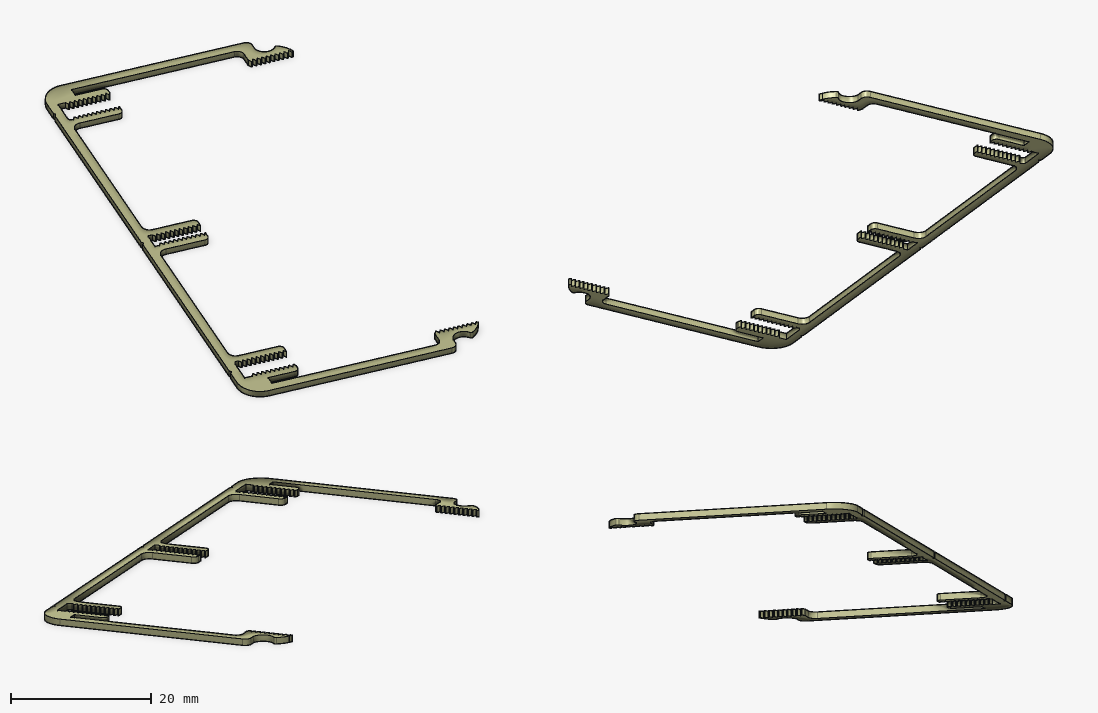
import cadquery as cq

length = 80.0
thickness = 1.0
half_length = length / 2

side_wall = 1.5
floor = 1.4
outer_corner_radius = 3.5

rib_top = 9.4
rib_width = 1.2
tooth_depth = 0.5
tooth_pitch = 0.69
tooth_crest_width = 0.12
tooth_root_overlap = 0.2
rib_teeth = 11
crest_stagger = 0.2
tip_radius = 0.7
foot_radius = 1.2

centre_channel_half_width = 1.4

side_slot_width = 1.4
side_slot_bottom = 4.6
corner_channel_width = 4.2
corner_rib_outer = half_length - side_wall - side_slot_width
corner_channel_outer = corner_rib_outer - rib_width
corner_channel_inner = corner_channel_outer - corner_channel_width
corner_channel_centre = (corner_channel_outer + corner_channel_inner) / 2
channel_corner_radius = 0.5

hook_underside = 30.6
hook_shoulder = 32.5
hook_top = 37.4
hook_face = corner_channel_outer
hook_tip_x = hook_face - 0.3
hook_first_crest = hook_top - 0.2
hook_teeth = 10
nose_x = half_length - 2.3
nose_y = 35.4
nose_bulge = (half_length - 3.4, 36.7)
nose_radius = 0.3
groove_deepest = (half_length - 3.2, 33.9)
groove_foot_x = half_length - 1.9
shoulder_radius = 1.0
underside_radius = 1.0

mark_width = 0.6
mark_depth = 0.2


def box(x_start, x_end, y_start, y_end):
    """Block of full thickness between the given limits."""
    return (
        cq.Workplane("XY")
        .moveTo((x_start + x_end) / 2, (y_start + y_end) / 2)
        .rect(x_end - x_start, y_end - y_start)
        .extrude(thickness)
    )


def round_corners(body, radius, corners):
    """Fillet the upright edges that stand at the given XY corners."""
    for x, y in corners:
        edge = cq.selectors.NearestToPointSelector((x, y, thickness / 2))
        body = body.edges("|Z").edges(edge).fillet(radius)
    return body


def teeth(face_x, y_top, first_crest, count, direction):
    """Column of V teeth running down a face, with the first tooth cut off level at y_top."""
    crest_x = face_x + direction * tooth_depth
    points = [(face_x, min(y_top, first_crest + tooth_pitch / 2))]
    for index in range(count):
        crest = first_crest - index * tooth_pitch
        points.append((crest_x, min(y_top, crest + tooth_crest_width / 2)))
        points.append((crest_x, crest - tooth_crest_width / 2))
        points.append((face_x, crest - tooth_pitch / 2))
    backing_x = face_x - direction * tooth_root_overlap
    points.append((backing_x, points[-1][1]))
    points.append((backing_x, points[0][1]))
    return cq.Workplane("XY").polyline(points).close().extrude(thickness)


def hook():
    """Sharp-cornered snap hook, with a round groove under its nose."""
    return (
        cq.Workplane("XY")
        .moveTo(hook_face, hook_underside)
        .lineTo(half_length, hook_underside)
        .lineTo(half_length, hook_shoulder)
        .lineTo(groove_foot_x, hook_shoulder)
        .threePointArc(groove_deepest, (nose_x, nose_y))
        .threePointArc(nose_bulge, (hook_tip_x, hook_top))
        .lineTo(hook_face - tooth_depth, hook_first_crest)
        .lineTo(hook_face, hook_first_crest)
        .close()
        .extrude(thickness)
    )


def half_profile():
    """Right half of the part, from the mid plane to the side wall."""
    centre_rib_outer = centre_channel_half_width + rib_width
    inner_rib_outer = corner_channel_inner - rib_width

    body = box(0, half_length, 0, floor)
    body = body.union(box(half_length - side_wall, half_length, 0, hook_shoulder))
    body = body.union(box(corner_channel_outer, half_length, 0, side_slot_bottom))
    body = body.union(box(corner_channel_outer, corner_rib_outer, 0, rib_top))
    body = body.union(box(inner_rib_outer, corner_channel_inner, 0, rib_top))
    body = body.union(box(centre_channel_half_width, centre_rib_outer, 0, rib_top))
    body = body.union(hook()).clean()

    rib_outers = (centre_rib_outer, inner_rib_outer)
    body = round_corners(body, foot_radius, [(x, floor) for x in rib_outers])
    body = round_corners(body, tip_radius, [(x, rib_top) for x in rib_outers + (corner_rib_outer,)])
    body = round_corners(body, channel_corner_radius, [(corner_channel_inner, floor)])
    body = round_corners(body, outer_corner_radius, [(half_length, 0)])
    body = round_corners(body, nose_radius, [(nose_x, nose_y)])
    body = round_corners(body, shoulder_radius, [(half_length, hook_shoulder)])
    body = round_corners(body, underside_radius, [(half_length - side_wall, hook_underside)])

    staggered_crest = rib_top - crest_stagger
    body = body.union(teeth(centre_channel_half_width, rib_top, rib_top, rib_teeth, -1))
    body = body.union(teeth(corner_channel_inner, rib_top, rib_top, rib_teeth, 1))
    body = body.union(teeth(corner_channel_outer, rib_top, staggered_crest, rib_teeth - 1, -1))
    return body.union(teeth(hook_face, hook_first_crest, hook_first_crest, hook_teeth, -1))


def mark(centre_x):
    """Cutter for one V groove across the underside of the floor."""
    half = mark_width / 2
    outline = [(centre_x - half, 0), (centre_x + half, 0), (centre_x, mark_depth)]
    return cq.Workplane("XY").polyline(outline).close().extrude(thickness)


half = half_profile()
result = half.union(half.mirror("YZ")).clean()
for mark_x in (-corner_channel_centre, 0, corner_channel_centre):
    result = result.cut(mark(mark_x))